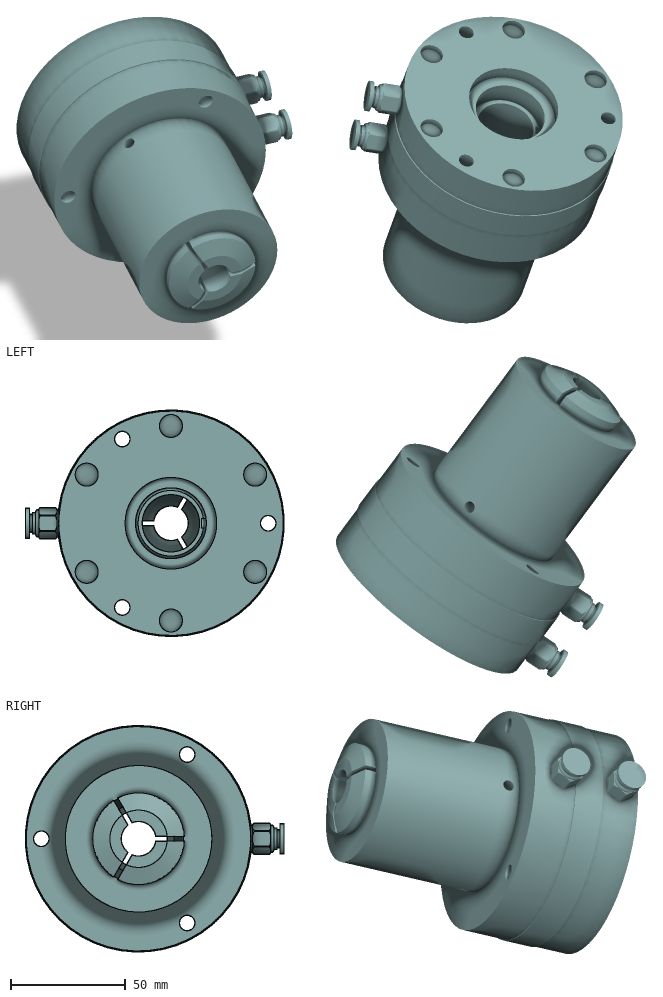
import cadquery as cq
import math


FLANGE_DIAMETER = 98.0
BAND_DIAMETER = 99.0
BARREL_DIAMETER = 64.0
BAND_START = 17.1
BAND_END = 30.1
FLANGE_END = 49.5
BARREL_END = 112.7

TAIL_DIAMETER = 31.0
TAIL_FACE_DIAMETER = 28.7
TAIL_START = 15.1
COLLET_BORE_DIAMETER = 25.0
GRIP_DIAMETER = 15.0
BORE_CONE_START = 96.8
BORE_CONE_END = 105.3
HEAD_DIAMETER = 40.0
HEAD_START = 114.8
HEAD_CONE_START = 117.9
HEAD_FACE_DIAMETER = 25.0
COLLET_END = 121.0
TAPER_HALF_ANGLE = 10.0
SLIT_WIDTH = 2.0
SLIT_START = 72.6
SLIT_DIRECTIONS = (0, 120, 240)
KEYWAY_WIDTH = 4.1
KEYWAY_FLOOR_RADIUS = 13.3
KEYWAY_LENGTH = 10.0
KEYWAY_DIRECTION = 180

TAPER_LENGTH = (HEAD_DIAMETER - TAIL_DIAMETER) / 2 / math.tan(math.radians(TAPER_HALF_ANGLE))
TAPER_START = HEAD_START - TAPER_LENGTH

REAR_RECESS_DIAMETER = 40.0
REAR_RECESS_DEPTH = 6.4
BOLT_CIRCLE_RADIUS = 42.5
BOLT_HOLE_DIAMETER = 6.7
BOLT_HOLE_DIRECTIONS = (60, 180, 300)
SCREW_POCKET_DIAMETER = 10.0
SCREW_POCKET_DEPTH = 3.0
SCREW_POCKET_DIRECTIONS = (30, 90, 150, 210, 270, 330)
RADIAL_HOLE_DIAMETER = 5.0
RADIAL_HOLE_X = 54.5
RADIAL_HOLE_DIRECTIONS = (0, 120, 240)

FITTING_X_POSITIONS = (9.5, 36.4)
STEM_DIAMETER = 6.0
STEM_BASE = 43.5
SEAT_BASE = 48.9
RIM_DIAMETER = 12.0
RIM_ROUNDING = 1.0
HEX_ACROSS_FLATS = 12.1
HEX_CORNER_DIAMETER = 13.7
HEX_BASE = 49.9
HEX_TOP = 57.7
HEX_CHAMFER = 0.6
COLLAR_DIAMETER = 9.5
COLLAR_BASE = 59.0
COLLAR_TOP = 60.5
NECK_DIAMETER = 8.0
CAP_DIAMETER = 13.3
CAP_BASE = 61.7
CAP_TOP = 63.5


def turned(points):
    """Revolve a closed (x, radius) outline about the X axis."""
    return cq.Workplane("XY").polyline(points).close().revolve(360, (0, 0), (1, 0))


def turn_about_axis(shape, angle):
    """Turn a shape about the X axis; angles run from +Y towards +Z."""
    return shape.rotate((0, 0, 0), (1, 0, 0), angle)


def axial_hole(diameter, depth, angle):
    """Cutter for a hole bored into the rear face on the bolt circle."""
    hole = cq.Workplane("YZ").center(BOLT_CIRCLE_RADIUS, 0).circle(diameter / 2).extrude(depth)
    return turn_about_axis(hole, angle)


def collet_envelope():
    """Solid outer shape of the collet, without bore, slits or keyway."""
    tail_chamfer = (TAIL_DIAMETER - TAIL_FACE_DIAMETER) / 2
    return turned([
        (TAIL_START, 0),
        (TAIL_START, TAIL_FACE_DIAMETER / 2),
        (TAIL_START + tail_chamfer, TAIL_DIAMETER / 2),
        (TAPER_START, TAIL_DIAMETER / 2),
        (HEAD_START, HEAD_DIAMETER / 2),
        (HEAD_CONE_START, HEAD_DIAMETER / 2),
        (COLLET_END, HEAD_FACE_DIAMETER / 2),
        (COLLET_END, 0),
    ])


def collet_bore():
    """Wide rear bore that narrows through a cone to the gripping bore."""
    return turned([
        (TAIL_START, 0),
        (TAIL_START, COLLET_BORE_DIAMETER / 2),
        (BORE_CONE_START, COLLET_BORE_DIAMETER / 2),
        (BORE_CONE_END, GRIP_DIAMETER / 2),
        (COLLET_END, GRIP_DIAMETER / 2),
        (COLLET_END, 0),
    ])


def collet_slit(angle):
    """Cutter for one radial slit, open at the front face."""
    slit = cq.Workplane("XY").box(
        COLLET_END - SLIT_START, HEAD_DIAMETER, SLIT_WIDTH, centered=(False, False, True)
    ).translate((SLIT_START, 0, 0))
    return turn_about_axis(slit, angle)


def collet_keyway():
    """Cutter for the square-ended keyway, open at the tail face."""
    groove = cq.Workplane("XY").box(
        KEYWAY_LENGTH, TAIL_DIAMETER, KEYWAY_WIDTH, centered=(False, False, True)
    ).translate((TAIL_START, KEYWAY_FLOOR_RADIUS, 0))
    return turn_about_axis(groove, KEYWAY_DIRECTION)


def make_collet():
    """Slotted collet that closes as its taper is drawn into the housing."""
    body = collet_envelope().cut(collet_bore()).cut(collet_keyway())
    for angle in SLIT_DIRECTIONS:
        body = body.cut(collet_slit(angle))
    return body


def housing_blank():
    """Flange, raised middle band and barrel."""
    return turned([
        (0, 0),
        (0, FLANGE_DIAMETER / 2),
        (BAND_START, FLANGE_DIAMETER / 2),
        (BAND_START, BAND_DIAMETER / 2),
        (BAND_END, BAND_DIAMETER / 2),
        (BAND_END, FLANGE_DIAMETER / 2),
        (FLANGE_END, FLANGE_DIAMETER / 2),
        (FLANGE_END, BARREL_DIAMETER / 2),
        (BARREL_END, BARREL_DIAMETER / 2),
        (BARREL_END, 0),
    ])


def housing_bore():
    """Rear recess, straight bore and front taper that seats the collet."""
    taper_slope = math.tan(math.radians(TAPER_HALF_ANGLE))
    mouth_radius = HEAD_DIAMETER / 2 - (HEAD_START - BARREL_END) * taper_slope
    return turned([
        (0, 0),
        (0, REAR_RECESS_DIAMETER / 2),
        (REAR_RECESS_DEPTH, REAR_RECESS_DIAMETER / 2),
        (REAR_RECESS_DEPTH, TAIL_DIAMETER / 2),
        (TAPER_START, TAIL_DIAMETER / 2),
        (BARREL_END, mouth_radius),
        (BARREL_END, 0),
    ])


def radial_hole(angle):
    """Cutter for a hole through the barrel wall, from the axis outwards."""
    hole = (
        cq.Workplane("XZ", origin=(RADIAL_HOLE_X, 0, 0))
        .circle(RADIAL_HOLE_DIAMETER / 2)
        .extrude(-BARREL_DIAMETER)
    )
    return turn_about_axis(hole, angle)


def fitting_hex():
    """Hexagon with trimmed corners and both ends chamfered, two corners pointing along Z."""
    across_corners = HEX_ACROSS_FLATS / math.cos(math.radians(30))
    height = HEX_TOP - HEX_BASE
    plane = cq.Plane(origin=(0, HEX_BASE, 0), xDir=(0, 0, 1), normal=(0, 1, 0))
    prism = cq.Workplane(plane).polygon(6, across_corners).extrude(height)
    trimming_disc = cq.Workplane(plane).circle(HEX_CORNER_DIAMETER / 2).extrude(height)
    return prism.intersect(trimming_disc.faces("<Y or >Y").chamfer(HEX_CHAMFER))


def air_fitting(x):
    """Push-in air fitting standing on the housing at the given x."""
    rim_radius = RIM_DIAMETER / 2
    rim_face_radius = rim_radius - RIM_ROUNDING
    turned_part = (
        cq.Workplane("XY")
        .moveTo(0, STEM_BASE)
        .lineTo(STEM_DIAMETER / 2, STEM_BASE)
        .lineTo(STEM_DIAMETER / 2, SEAT_BASE)
        .lineTo(rim_face_radius, SEAT_BASE)
        .tangentArcPoint((rim_radius, SEAT_BASE + RIM_ROUNDING), relative=False)
        .lineTo(rim_radius, COLLAR_BASE - RIM_ROUNDING)
        .tangentArcPoint((rim_face_radius, COLLAR_BASE), relative=False)
        .lineTo(COLLAR_DIAMETER / 2, COLLAR_BASE)
        .lineTo(COLLAR_DIAMETER / 2, COLLAR_TOP)
        .lineTo(NECK_DIAMETER / 2, COLLAR_TOP)
        .lineTo(NECK_DIAMETER / 2, CAP_BASE)
        .lineTo(CAP_DIAMETER / 2, CAP_BASE)
        .lineTo(CAP_DIAMETER / 2, CAP_TOP)
        .lineTo(0, CAP_TOP)
        .close()
        .revolve(360, (0, 0), (0, 1))
    )
    return turned_part.union(fitting_hex()).translate((x, 0, 0))


def make_housing():
    """Flanged housing with its two air fittings, bore and holes."""
    body = housing_blank()
    for x in FITTING_X_POSITIONS:
        body = body.union(air_fitting(x))
    body = body.cut(housing_bore())
    for angle in BOLT_HOLE_DIRECTIONS:
        body = body.cut(axial_hole(BOLT_HOLE_DIAMETER, FLANGE_END, angle))
    for angle in SCREW_POCKET_DIRECTIONS:
        body = body.cut(axial_hole(SCREW_POCKET_DIAMETER, SCREW_POCKET_DEPTH, angle))
    for angle in RADIAL_HOLE_DIRECTIONS:
        body = body.cut(radial_hole(angle))
    return body


housing = make_housing()
collet = make_collet()

result = cq.Compound.makeCompound([housing.solids().val(), collet.solids().val()])